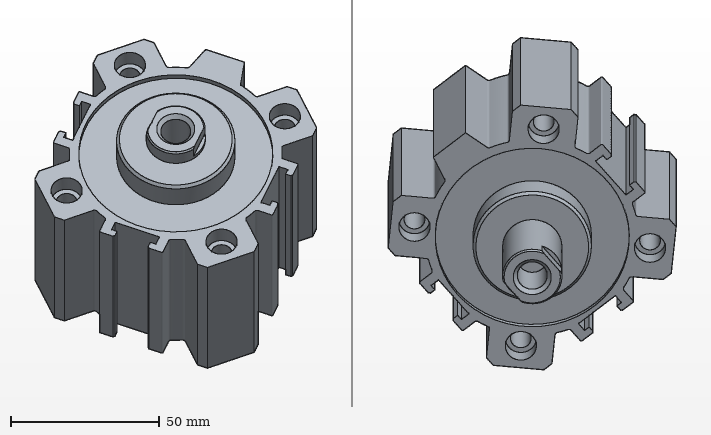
import cadquery as cq
import math

barrel_length = 58.0
boss_height = 8.1
rod_lower_reach = 26.0
rod_length = 106

square_width = 80.0
wall_radius = 35.9
ear_width = 22.3
ear_reach = 48.0
root_fillet = 1.0

wedge_top_y = 44.0
wedge_top_width = 14.1
wedge_root_width = 18.9
wedge_root_y = math.sqrt(wall_radius**2 - (wedge_root_width / 2) ** 2)

rail_width = 23.1
rail_edge_radius = 0.4
slot_mouth_width = 12.1
slot_inner_width = 16.1
slot_floor_distance = 34.3
lip_thickness = 2.4
rail_angles = [-90, 0, 180]

bolt_spacing = 56.5
bolt_diameter = 7.0
counterbore_diameter = 10.5
counterbore_depth = 6.6

recess_diameter = 65.5
recess_depth = 2.0
boss_diameter = 40.0
boss_chamfer = 1.0

rod_diameter = 20.0
rod_end_chamfer = 0.5
flat_width = 17.2
flat_length = 4.6
rod_hole_diameter = 10.1
rod_hole_mouth_diameter = 12.8
rod_hole_depth = 15.9
rod_hole_chamfer = (rod_hole_mouth_diameter - rod_hole_diameter) / 2


def make_ears():
    """Four corner ears: a cross of two bars at 45 degrees, trimmed to the square."""
    cross = None
    for angle in (45, 135):
        bar = cq.Workplane("XY").rect(2 * ear_reach, ear_width).extrude(barrel_length)
        bar = bar.rotate((0, 0, 0), (0, 0, 1), angle)
        cross = bar if cross is None else cross.union(bar)
    square = cq.Workplane("XY").rect(square_width, square_width).extrude(barrel_length)
    return cross.intersect(square)


def make_wedge():
    """Tapered rib that stands out of the wall on the +Y side."""
    return (
        cq.Workplane("XY")
        .polyline(
            [
                (-wedge_root_width / 2, 0),
                (-wedge_root_width / 2, wedge_root_y),
                (-wedge_top_width / 2, wedge_top_y),
                (wedge_top_width / 2, wedge_top_y),
                (wedge_root_width / 2, wedge_root_y),
                (wedge_root_width / 2, 0),
            ]
        )
        .close()
        .extrude(barrel_length)
    )


def make_rail_block(angle):
    """Solid block of one T-slot rail pair, its outer corners rounded."""
    reach = square_width / 2
    block = cq.Workplane("XY").rect(reach, rail_width).extrude(barrel_length)
    block = block.translate((reach / 2, 0, 0))
    block = block.edges("|Z and >X").fillet(rail_edge_radius)
    return block.rotate((0, 0, 0), (0, 0, 1), angle)


def make_t_slot(angle):
    """T-shaped slot cutter: a wide chamber behind a narrow mouth with rounded outer lips."""
    reach = square_width / 2
    lip_inner = reach - lip_thickness
    lip_round_start = reach - rail_edge_radius
    half_mouth = slot_mouth_width / 2
    half_inner = slot_inner_width / 2
    half_mouth_outer = half_mouth + rail_edge_radius
    slot = (
        cq.Workplane("XY")
        .moveTo(slot_floor_distance, -half_inner)
        .lineTo(lip_inner, -half_inner)
        .lineTo(lip_inner, -half_mouth)
        .lineTo(lip_round_start, -half_mouth)
        .radiusArc((reach, -half_mouth_outer), -rail_edge_radius)
        .lineTo(reach, half_mouth_outer)
        .radiusArc((lip_round_start, half_mouth), -rail_edge_radius)
        .lineTo(lip_inner, half_mouth)
        .lineTo(lip_inner, half_inner)
        .lineTo(slot_floor_distance, half_inner)
        .close()
        .extrude(barrel_length)
    )
    return slot.rotate((0, 0, 0), (0, 0, 1), angle)


def round_roots(body):
    """Round every upright inner corner where an ear, rail or the wedge leaves the round wall."""
    tolerance = 0.01
    root_edges = [
        edge
        for edge in body.edges("|Z").vals()
        if abs(math.hypot(edge.Center().x, edge.Center().y) - wall_radius) < tolerance
    ]
    return body.newObject(root_edges).fillet(root_fillet)


def make_end_recess_and_boss(body):
    """Sink a round recess in the upper barrel face and raise the chamfered boss from its floor."""
    floor_z = barrel_length - recess_depth
    floor_plane = cq.Workplane("XY", origin=(0, 0, floor_z))
    recess = floor_plane.circle(recess_diameter / 2).extrude(recess_depth)
    boss = (
        floor_plane
        .circle(boss_diameter / 2)
        .extrude(recess_depth + boss_height)
        .faces(">Z")
        .chamfer(boss_chamfer)
    )
    return body.cut(recess).union(boss)


def flip_ends(body):
    """Swap the two ends of the barrel."""
    return body.mirror("XY").translate((0, 0, barrel_length))


def make_bolt_holes():
    """Cutter for the four through holes, counterbored at both ends."""
    centers = cq.Workplane("XY").rect(bolt_spacing, bolt_spacing, forConstruction=True).vertices()
    holes = centers.circle(bolt_diameter / 2).extrude(barrel_length)
    for start in (0, barrel_length - counterbore_depth):
        counterbores = (
            cq.Workplane("XY")
            .workplane(offset=start)
            .rect(bolt_spacing, bolt_spacing, forConstruction=True)
            .vertices()
            .circle(counterbore_diameter / 2)
            .extrude(counterbore_depth)
        )
        holes = holes.union(counterbores)
    return holes


def make_housing():
    """Barrel, rails, ears and both bosses, bored for the rod."""
    wall = cq.Workplane("XY").circle(wall_radius).extrude(barrel_length)
    body = wall.union(make_ears()).union(make_wedge())
    for angle in rail_angles:
        body = body.union(make_rail_block(angle))
    body = round_roots(body)
    for angle in rail_angles:
        body = body.cut(make_t_slot(angle))
    body = body.cut(make_bolt_holes())
    body = make_end_recess_and_boss(body)
    body = flip_ends(make_end_recess_and_boss(flip_ends(body)))
    rod_bore = (
        cq.Workplane("XY")
        .workplane(offset=-boss_height)
        .circle(rod_diameter / 2)
        .extrude(barrel_length + 2 * boss_height)
    )
    return body.cut(rod_bore)


def make_rod():
    """Through rod with wrench flats and a countersunk blind hole at each end."""
    rod = cq.Workplane("XY").circle(rod_diameter / 2).extrude(rod_length)
    rod = rod.faces("<Z or >Z").chamfer(rod_end_chamfer)
    flat_depth = (rod_diameter - flat_width) / 2
    for start in (0, rod_length - flat_length):
        for side in (-1, 1):
            flat = (
                cq.Workplane("XY")
                .workplane(offset=start)
                .center(side * (flat_width + flat_depth) / 2, 0)
                .rect(flat_depth, rod_diameter)
                .extrude(flat_length)
            )
            rod = rod.cut(flat)
    for face in ("<Z", ">Z"):
        rod = rod.faces(face).workplane().hole(rod_hole_diameter, rod_hole_depth)
        rod = rod.faces(face).edges(cq.selectors.RadiusNthSelector(0)).chamfer(rod_hole_chamfer)
    return rod.translate((0, 0, -boss_height - rod_lower_reach))


housing = make_housing()
rod = make_rod()
result = cq.Compound.makeCompound([housing.val(), rod.val()])